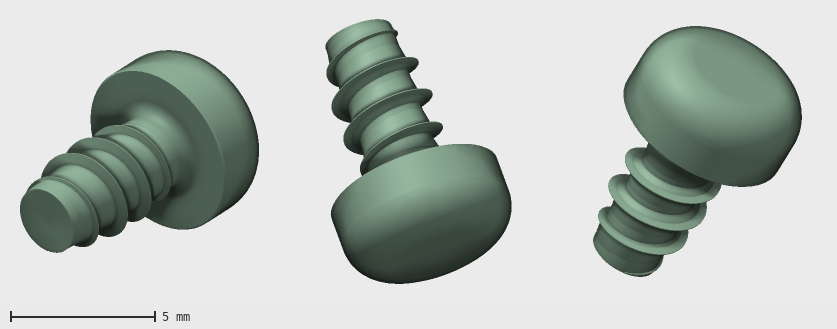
import cadquery as cq
import math

LENGTH = 8.69

HEAD_RADIUS = 3.05
HEAD_HEIGHT = 2.7
HEAD_ROUND = 1.35
RIM_CHAMFER = 0.05
SEAT_Y = LENGTH - HEAD_HEIGHT

NECK_RADIUS = 1.37
NECK_FILLET = 0.49
CONE_TOP_Y = 5.13
CONE_LENGTH = 0.56
CORE_RADIUS = 1.225
TIP_HOLLOW_RADIUS = 1.14
TIP_HOLLOW_DEPTH = 0.08
CONE_END_Y = CONE_TOP_Y - CONE_LENGTH

PITCH = 1.28
HELIX_TOP_Y = 5.145
POINTS_PER_TURN = 36

LEAD_IN_TURN = -0.5
FULL_THREAD_TURN = 1.0
RUNOUT_TURN = 2.5
LAST_TURN = 4.0
LEAD_IN_RADIUS = 1.38
CREST_RADIUS = 1.74
RUNOUT_RADIUS = 1.25

CREST_HALF_WIDTH = 0.02
STEEP_FLANK_DEPTH = 0.29
STEEP_FLANK_SLOPE = 0.21
ROOT_SLOPE = 0.85
TIP_FLANK_SLOPE = 0.28
LEAST_ROOT_SHARE = 0.1

RAMP_RISE = 0.13
RAMP_LENGTH = 0.79
RAMP_SLOPE = RAMP_RISE / RAMP_LENGTH
RAMP_FIRST_TURN = -0.25
RAMP_SINK_TURN = 3.0
RAMP_SINK_PER_TURN = 0.11

RELIEF_FIRST_TURN = 3.1
RELIEF_HEIGHT = 0.1


def blend(turn, first_turn, last_turn, first_value, last_value):
    """Straight-line change from first_value to last_value between two turns."""
    return first_value + (last_value - first_value) * (turn - first_turn) / (last_turn - first_turn)


def crest_radius(turn):
    """The crest grows over the first turns, stays level, then sinks towards the tip."""
    if turn < FULL_THREAD_TURN:
        return blend(turn, LEAD_IN_TURN, FULL_THREAD_TURN, LEAD_IN_RADIUS, CREST_RADIUS)
    if turn < RUNOUT_TURN:
        return CREST_RADIUS
    return blend(turn, RUNOUT_TURN, LAST_TURN, CREST_RADIUS, RUNOUT_RADIUS)


def ramp_rise(turn):
    return RAMP_RISE - RAMP_SINK_PER_TURN * max(0, turn - RAMP_SINK_TURN)


def thread_foot(turn):
    """Axial place and radius where the tip-side flank meets the ramp."""
    drop = crest_radius(turn) - CORE_RADIUS - ramp_rise(turn)
    axial = (drop * TIP_FLANK_SLOPE + CREST_HALF_WIDTH) / (1 - RAMP_SLOPE * TIP_FLANK_SLOPE)
    return axial, CORE_RADIUS + ramp_rise(turn) - RAMP_SLOPE * axial


def thread_section(turn):
    """Thread outline as (axial distance towards the tip, radius) points."""
    crest = crest_radius(turn)
    height = crest - CORE_RADIUS
    root_height = max(height - STEEP_FLANK_DEPTH, LEAST_ROOT_SHARE * height)
    kink = -CREST_HALF_WIDTH - (height - root_height) * STEEP_FLANK_SLOPE
    toe = kink - root_height * ROOT_SLOPE
    foot, foot_radius = thread_foot(turn)
    level_shift = PITCH * min(0, turn)
    outline = [
        (toe, CORE_RADIUS),
        (kink, CORE_RADIUS + root_height),
        (-CREST_HALF_WIDTH, crest),
        (CREST_HALF_WIDTH, crest),
        (foot, foot_radius),
        (foot, CORE_RADIUS),
    ]
    return [(axial - level_shift, radius) for axial, radius in outline]


def ramp_section(turn):
    """Ramp outline as (axial distance towards the tip, radius) points."""
    foot, foot_radius = thread_foot(turn)
    return [
        (foot, CORE_RADIUS),
        (foot, foot_radius),
        (ramp_rise(turn) / RAMP_SLOPE, CORE_RADIUS),
    ]


def relief_section(turn):
    """Space over the sunken part of the ramp, as (axial distance towards the tip, radius) points."""
    outer = CORE_RADIUS + RELIEF_HEIGHT
    floor = CORE_RADIUS - RAMP_RISE + ramp_rise(turn)
    far_end = RAMP_LENGTH + PITCH / 2
    return [
        ((ramp_rise(turn) - RELIEF_HEIGHT) / RAMP_SLOPE, outer),
        (RAMP_LENGTH, floor),
        (far_end, floor),
        (far_end, outer),
    ]


def helical_solid(section_at, first_turn, last_turn):
    """Solid swept round the axis by the outline that section_at(turn) gives at each turn."""
    steps = math.ceil((last_turn - first_turn) * POINTS_PER_TURN)
    outlines = []
    for step in range(steps + 1):
        turn = blend(step, 0, steps, first_turn, last_turn)
        angle = 2 * math.pi * turn
        crest_y = HELIX_TOP_Y - PITCH * turn
        outlines.append([
            cq.Vector(radius * math.sin(angle), crest_y - axial, -radius * math.cos(angle))
            for axial, radius in section_at(turn)
        ])
    caps = [
        cq.Face.makeFromWires(cq.Wire.makePolygon(points, close=True))
        for points in (outlines[0], outlines[-1])
    ]
    edges = [cq.Edge.makeSpline(list(points)) for points in zip(*outlines)]
    sides = [cq.Face.makeRuledSurface(edges[i - 1], edges[i]) for i in range(len(edges))]
    return cq.Workplane(cq.Solid.makeSolid(cq.Shell.makeShell(caps + sides)).fix())


def turned(outline):
    """Solid turned round the Y axis from an outline of (radius, Y) lines and arcs."""
    return outline.close().revolve(360, (0, 0, 0), (0, 1, 0))


def make_shank():
    """Head, neck and core in one piece, relieved at the tip."""
    shank = turned(
        cq.Workplane("ZY")
        .moveTo(0, TIP_HOLLOW_DEPTH)
        .lineTo(TIP_HOLLOW_RADIUS, 0)
        .lineTo(CORE_RADIUS, 0)
        .lineTo(CORE_RADIUS, CONE_END_Y)
        .lineTo(NECK_RADIUS, CONE_TOP_Y)
        .lineTo(NECK_RADIUS, SEAT_Y - NECK_FILLET)
        .radiusArc((NECK_RADIUS + NECK_FILLET, SEAT_Y), NECK_FILLET)
        .lineTo(HEAD_RADIUS - RIM_CHAMFER, SEAT_Y)
        .lineTo(HEAD_RADIUS, SEAT_Y + RIM_CHAMFER)
        .lineTo(HEAD_RADIUS, LENGTH - HEAD_ROUND)
        .radiusArc((HEAD_RADIUS - HEAD_ROUND, LENGTH), -HEAD_ROUND)
        .lineTo(0, LENGTH)
    )
    return shank.cut(helical_solid(relief_section, RELIEF_FIRST_TURN, LAST_TURN))


def make_neck_space():
    """Room taken up by the neck; its cone runs on to a point inside the core."""
    cone_slope = (NECK_RADIUS - CORE_RADIUS) / CONE_LENGTH
    return turned(
        cq.Workplane("ZY")
        .moveTo(0, CONE_TOP_Y - NECK_RADIUS / cone_slope)
        .lineTo(NECK_RADIUS, CONE_TOP_Y)
        .lineTo(NECK_RADIUS, LENGTH)
        .lineTo(0, LENGTH)
    )


def make_ramp():
    """Ramp wound on the core, trimmed by the neck and cut off level with the tip."""
    side = 2 * HEAD_RADIUS
    beyond_tip = cq.Workplane("XY").box(side, side, side).translate((0, -side / 2, 0))
    ramp = helical_solid(ramp_section, RAMP_FIRST_TURN, LAST_TURN)
    return ramp.cut(make_neck_space()).cut(beyond_tip)


def make_thread_start():
    """Growing thread, trimmed by the neck where it begins."""
    return helical_solid(thread_section, LEAD_IN_TURN, FULL_THREAD_TURN).cut(make_neck_space())


def make_full_thread():
    return helical_solid(thread_section, FULL_THREAD_TURN, RUNOUT_TURN)


def make_thread_end():
    """Thread that sinks into the core as it nears the tip."""
    return helical_solid(thread_section, RUNOUT_TURN, LAST_TURN)


shank = make_shank()
ramp = make_ramp()
thread_start = make_thread_start()
full_thread = make_full_thread()
thread_end = make_thread_end()

bodies = [shank, ramp, thread_start, full_thread, thread_end]
result = cq.Compound.makeCompound([body.solids().val() for body in bodies])